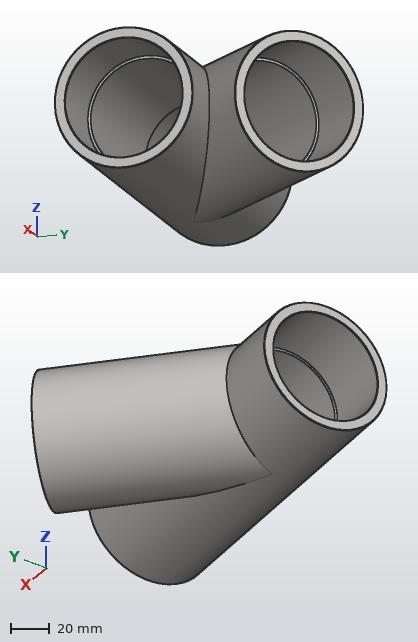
import cadquery as cq
import math

run_length = 170.0
outer_diameter = 74.5
bore_diameter = 60.0
socket_diameter = 63.0
socket_depth = 38.8
edge_chamfer = 0.3
branch_angle = math.radians(45)
branch_length = 118.2

axes_crossing = cq.Vector(run_length / 2 - branch_length, 0, 0)
run_direction = cq.Vector(1, 0, 0)
run_start = cq.Vector(-run_length / 2, 0, 0)
run_end = cq.Vector(run_length / 2, 0, 0)
branch_direction = cq.Vector(math.cos(branch_angle), math.sin(branch_angle), 0)
branch_end = axes_crossing + branch_direction * branch_length


def cylinder(diameter, length, start, direction):
    """Solid cylinder growing from start along direction."""
    return cq.Workplane(cq.Solid.makeCylinder(diameter / 2, length, start, direction))


run_body = cylinder(outer_diameter, run_length, run_start, run_direction)
run_body = run_body.faces("<X or >X").chamfer(edge_chamfer)
branch_body = cylinder(outer_diameter, branch_length, axes_crossing, branch_direction)
branch_end_face = cq.selectors.DirectionMinMaxSelector(branch_direction)
branch_body = branch_body.faces(branch_end_face).chamfer(edge_chamfer)
result = run_body.union(branch_body)

result = result.cut(cylinder(bore_diameter, run_length, run_start, run_direction))
result = result.cut(cylinder(bore_diameter, branch_length, axes_crossing, branch_direction))

mouth_diameter = socket_diameter + 2 * edge_chamfer
for end_centre, inward in (
    (run_start, run_direction),
    (run_end, -run_direction),
    (branch_end, -branch_direction),
):
    mouth = cq.Solid.makeCone(mouth_diameter / 2, socket_diameter / 2, edge_chamfer, end_centre, inward)
    result = result.cut(cylinder(socket_diameter, socket_depth, end_centre, inward))
    result = result.cut(cq.Workplane(mouth))